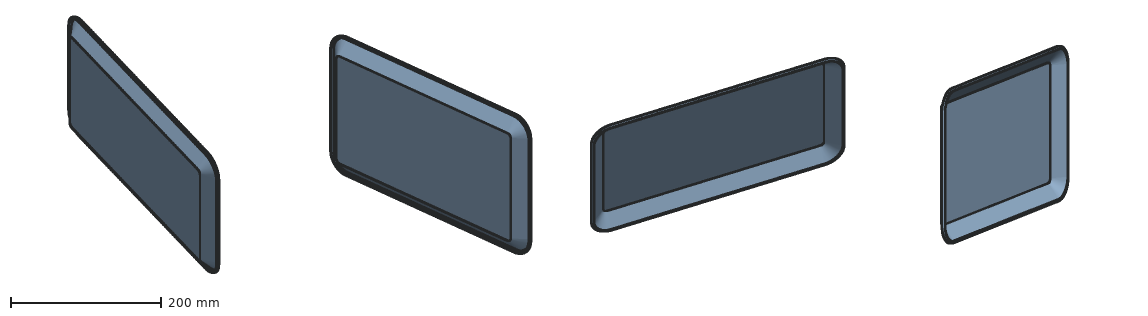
import cadquery as cq
import math

LENGTH = 364.48
DEPTH = 16.65
HEIGHT = 211.25

SHEET = 0.7
BASE_INSET = 23.5
BASE_CORNER_RADIUS = 5.5
CURL_RADIUS = 2.25
WALL_TOP_INSET = 3.6

RIM_Y = DEPTH / 2
BASE_Y = -DEPTH / 2
RIM_CORNER_RADIUS = BASE_CORNER_RADIUS + BASE_INSET

WALL_ANGLE = math.atan2(BASE_INSET - WALL_TOP_INSET, DEPTH - SHEET)


def rim_path():
    """Rounded rectangle through the outermost edge of the rim, in the plane Y = RIM_Y."""
    half_length = LENGTH / 2
    half_height = HEIGHT / 2
    flat_x = half_length - RIM_CORNER_RADIUS
    flat_z = half_height - RIM_CORNER_RADIUS
    return (
        cq.Workplane("XZ", origin=(0, RIM_Y, 0))
        .moveTo(-half_length, 0)
        .lineTo(-half_length, flat_z)
        .radiusArc((-flat_x, half_height), RIM_CORNER_RADIUS)
        .lineTo(flat_x, half_height)
        .radiusArc((half_length, flat_z), RIM_CORNER_RADIUS)
        .lineTo(half_length, -flat_z)
        .radiusArc((flat_x, -half_height), RIM_CORNER_RADIUS)
        .lineTo(-flat_x, -half_height)
        .radiusArc((-half_length, -flat_z), RIM_CORNER_RADIUS)
        .close()
    )


def border_section():
    """Cross-section of the sloped wall, flange and curl at the middle of the -X side."""
    edge_x = -LENGTH / 2
    base_x = edge_x + BASE_INSET
    wall_top_x = edge_x + WALL_TOP_INSET
    curl_x = edge_x + CURL_RADIUS
    curl_y = RIM_Y - CURL_RADIUS
    inner_radius = CURL_RADIUS - SHEET
    bend_angle = math.pi / 2 - WALL_ANGLE
    bend_shift = SHEET * math.tan(bend_angle / 2)
    return (
        cq.Workplane("XY")
        .moveTo(base_x, BASE_Y)
        .lineTo(wall_top_x, RIM_Y - SHEET)
        .lineTo(curl_x, RIM_Y - SHEET)
        .threePointArc((curl_x - inner_radius, curl_y), (curl_x, curl_y - inner_radius))
        .lineTo(curl_x, curl_y - CURL_RADIUS)
        .threePointArc((edge_x, curl_y), (curl_x, RIM_Y))
        .lineTo(wall_top_x + bend_shift, RIM_Y)
        .lineTo(base_x + bend_shift, BASE_Y + SHEET)
        .lineTo(base_x + bend_shift, BASE_Y)
        .close()
    )


def base_plate():
    """Flat bottom of the tray."""
    return (
        cq.Workplane("XZ", origin=(0, BASE_Y, 0))
        .rect(LENGTH - 2 * BASE_INSET, HEIGHT - 2 * BASE_INSET)
        .extrude(-SHEET)
        .edges("|Y")
        .fillet(BASE_CORNER_RADIUS)
    )


border = border_section().sweep(rim_path())
result = border.union(base_plate())